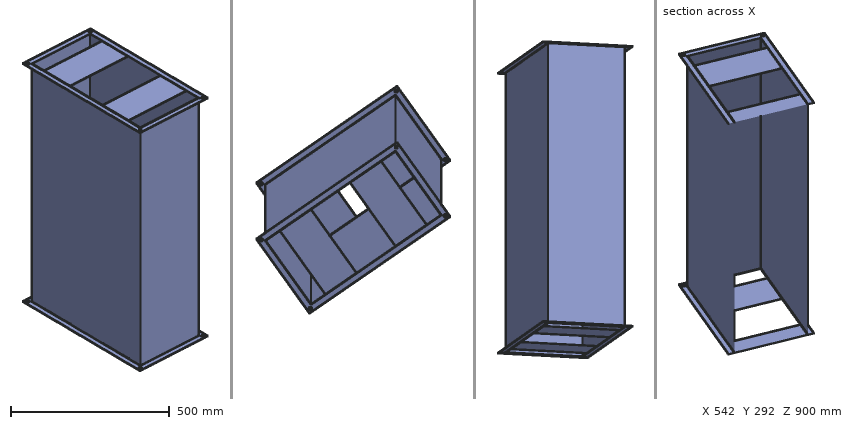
import cadquery as cq

duct_inner_x = 500.0
duct_inner_y = 250.0
length = 900.0
sheet = 1.0

flange_width = 20.0
hole_diameter = 9.0
hole_offset = 10.0

plate_width = 120.0
plate_spacing = 270.0

duct_outer_x = duct_inner_x + 2 * sheet
duct_outer_y = duct_inner_y + 2 * sheet
flange_outer_x = duct_outer_x + 2 * flange_width
flange_outer_y = duct_outer_y + 2 * flange_width
hole_pitch_x = duct_inner_x + 2 * hole_offset
hole_pitch_y = duct_inner_y + 2 * hole_offset
sheet_levels = (0, length - sheet)


def make_flange(bottom_z):
    """Flat frame around the duct mouth, drilled at its four corners."""
    frame = (
        cq.Workplane("XY", origin=(0, 0, bottom_z))
        .rect(flange_outer_x, flange_outer_y)
        .rect(duct_inner_x, duct_inner_y)
        .extrude(sheet)
    )
    holes = (
        cq.Workplane("XY", origin=(0, 0, bottom_z))
        .rect(hole_pitch_x, hole_pitch_y, forConstruction=True)
        .vertices()
        .circle(hole_diameter / 2)
        .extrude(sheet)
    )
    return frame.cut(holes)


def make_duct():
    """Open rectangular sheet-metal tube with a flange at each end."""
    duct = (
        cq.Workplane("XY")
        .rect(duct_outer_x, duct_outer_y)
        .rect(duct_inner_x, duct_inner_y)
        .extrude(length)
    )
    for bottom_z in sheet_levels:
        duct = duct.union(make_flange(bottom_z))
    return duct


def make_plate(center_x, bottom_z):
    """Flat blanking plate lying between the front and back duct walls."""
    return (
        cq.Workplane("XY", origin=(center_x, 0, bottom_z))
        .rect(plate_width, duct_inner_y)
        .extrude(sheet)
    )


duct = make_duct()

plates = []
for bottom_z in sheet_levels:
    for side in (-1, 1):
        plates.append(make_plate(side * plate_spacing / 2, bottom_z))

result = cq.Compound.makeCompound([duct.val(), *[plate.val() for plate in plates]])